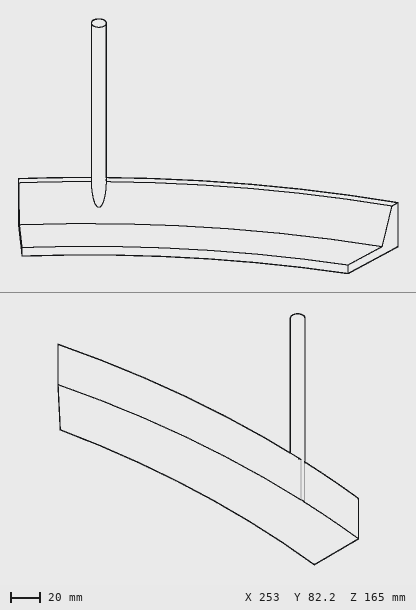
import cadquery as cq
import math

overall_length = 253.0
sweep_angle = 20.0
outer_radius = overall_length / math.sin(math.radians(sweep_angle))

rail_width = 40.0
rail_height = 36.0
base_thickness = 7.0
wall_top_width = 5.0
wall_foot_width = 13.0

oblique_cut_angle = 30.0

pin_diameter = 10.0
pin_top = 165.0
pin_inset = 4.8
pin_angle = 15.8


def curved_rail():
    """Revolve the section from the outer corner of the oblique end to the radial end."""
    inner_radius = outer_radius - rail_width
    section = [
        (outer_radius, 0),
        (outer_radius, rail_height),
        (outer_radius - wall_top_width, rail_height),
        (outer_radius - wall_foot_width, base_thickness),
        (inner_radius, base_thickness),
        (inner_radius, 0),
    ]
    rail = (
        cq.Workplane("XZ")
        .polyline(section)
        .close()
        .revolve(sweep_angle, (0, 0, 0), (0, 1, 0))
    )
    return rail.rotate((0, 0, 0), (0, 0, 1), 90)


def oblique_end_cutter():
    """Wedge with its apex on the outer corner, removing all beyond the oblique plane."""
    depth = 2 * rail_width
    run = depth * math.tan(math.radians(oblique_cut_angle))
    return (
        cq.Workplane("XY")
        .polyline([(0, outer_radius), (-run, outer_radius - depth), (run, outer_radius - depth)])
        .close()
        .extrude(rail_height)
    )


def upright_pin():
    """Pin standing on the underside plane and rising through the wall."""
    pin_radius_from_axis = outer_radius - pin_inset
    angle = math.radians(pin_angle)
    x = -pin_radius_from_axis * math.sin(angle)
    y = pin_radius_from_axis * math.cos(angle)
    return cq.Workplane("XY").center(x, y).circle(pin_diameter / 2).extrude(pin_top)


result = curved_rail().cut(oblique_end_cutter()).union(upright_pin())